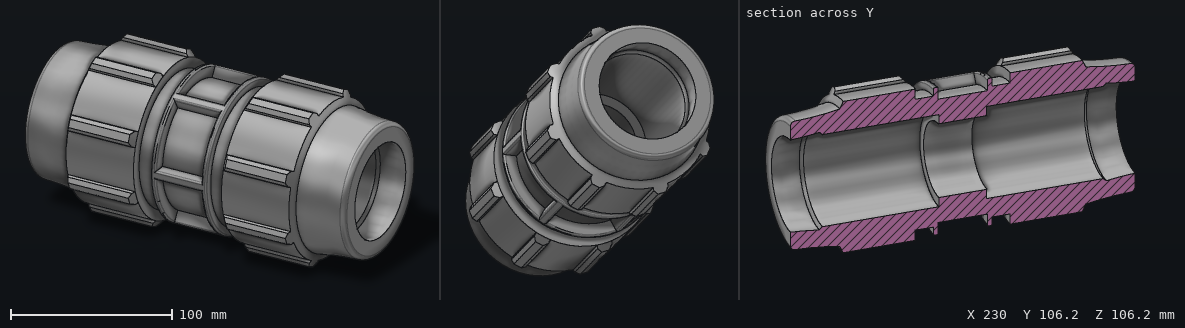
import cadquery as cq
import math

half_length = 115.0
envelope_half_width = 53.1

cap_rim_radius = 44.5
cap_mid_radius = 45.3
cap_foot_radius = 47.4
cap_edge_round = 3.2

nut_radius = 52.2
nut_inner_x = 31.5
nut_outer_x = 82.0
nut_bevel_length = 2.3

lobe_count = 8
lobe_first_angle = 180 / lobe_count
lobe_width = 10.1
lobe_top_width = 5.3
lobe_bevel_height = 2.5
lobe_root_radius = 46.0
lobe_inner_bevel_length = 3.2
lobe_tilt = math.radians(lobe_first_angle)
lobe_top_radius = (envelope_half_width - lobe_top_width / 2 * math.sin(lobe_tilt)) / math.cos(lobe_tilt)

body_radius = 90.5 / 2
collar_radius = 101.7 / 2
collar_half_length = 19.8
collar_edge_round = 1.2

pocket_count = 6
pocket_floor_radius = 42.5
pocket_half_length = 16.3
rib_thickness = 5.8

bore_radius = 50.4 / 2
socket_radius = 63.0 / 2
undercut_radius = 33.4
undercut_depth = 19.3
undercut_end_depth = 21.5
socket_depth = 99.0


def evenly_spaced_angles(count, first_angle):
    return [first_angle + i * 360 / count for i in range(count)]


def revolve_about_x(profile):
    """Close a profile drawn in the XY plane and turn it around the X axis."""
    return profile.close().revolve(360, (0, 0, 0), (1, 0, 0))


def make_neck():
    """Plain stretch of body between the collar and the nut on the +X side."""
    neck_length = nut_inner_x - pocket_half_length
    return cq.Workplane("YZ", origin=(pocket_half_length, 0, 0)).circle(body_radius).extrude(neck_length)


def make_cap():
    """Flared end cap on the +X side, with a rounded outer edge."""
    rim_x = half_length - cap_edge_round
    mid_x = (nut_outer_x + rim_x) / 2
    face_radius = cap_rim_radius - cap_edge_round
    diagonal = cap_edge_round * math.sqrt(0.5)
    return revolve_about_x(
        cq.Workplane("XY")
        .moveTo(nut_outer_x, 0)
        .lineTo(nut_outer_x, cap_foot_radius)
        .threePointArc((mid_x, cap_mid_radius), (rim_x, cap_rim_radius))
        .threePointArc((rim_x + diagonal, face_radius + diagonal), (half_length, face_radius))
        .lineTo(half_length, 0)
    )


def make_lobe():
    """Grip lobe pointing along +Y, over the whole length of the nut on the +X side."""
    shoulder_radius = lobe_top_radius - lobe_bevel_height
    return (
        cq.Workplane("YZ", origin=(nut_inner_x, 0, 0))
        .moveTo(lobe_root_radius, -lobe_width / 2)
        .lineTo(shoulder_radius, -lobe_width / 2)
        .lineTo(lobe_top_radius, -lobe_top_width / 2)
        .lineTo(lobe_top_radius, lobe_top_width / 2)
        .lineTo(shoulder_radius, lobe_width / 2)
        .lineTo(lobe_root_radius, lobe_width / 2)
        .close()
        .extrude(nut_outer_x - nut_inner_x)
    )


def make_nut():
    """Grip nut on the +X side; cones bevel its outer edge and both ends of the lobes."""
    nut = cq.Workplane("YZ", origin=(nut_inner_x, 0, 0)).circle(nut_radius).extrude(nut_outer_x - nut_inner_x)
    lobe = make_lobe()
    for angle in evenly_spaced_angles(lobe_count, lobe_first_angle):
        nut = nut.union(lobe.rotate((0, 0, 0), (1, 0, 0), angle))

    tip_radius = math.hypot(lobe_top_radius, lobe_top_width / 2)
    outer_slope = (nut_radius - cap_foot_radius) / nut_bevel_length
    outer_bevel_length = (tip_radius - cap_foot_radius) / outer_slope
    bevelled_envelope = revolve_about_x(
        cq.Workplane("XY")
        .moveTo(nut_inner_x, 0)
        .lineTo(nut_inner_x, nut_radius)
        .lineTo(nut_inner_x + lobe_inner_bevel_length, tip_radius)
        .lineTo(nut_outer_x - outer_bevel_length, tip_radius)
        .lineTo(nut_outer_x, cap_foot_radius)
        .lineTo(nut_outer_x, 0)
    )
    return nut.intersect(bevelled_envelope)


def make_collar():
    """Two rims joined by ribs, with all edges on the outer diameter rounded."""
    pockets = (
        cq.Workplane("YZ")
        .circle(2 * collar_radius)
        .circle(pocket_floor_radius)
        .extrude(pocket_half_length, both=True)
    )
    rib = cq.Workplane("XY").box(
        2 * pocket_half_length, 2 * collar_radius, rib_thickness, centered=(True, False, True)
    )
    for angle in evenly_spaced_angles(pocket_count, 0):
        pockets = pockets.cut(rib.rotate((0, 0, 0), (1, 0, 0), angle))
    collar = cq.Workplane("YZ").circle(collar_radius).extrude(collar_half_length, both=True).cut(pockets)

    def is_on_outer_diameter(edge):
        middle = edge.positionAt(0.5)
        return math.isclose(math.hypot(middle.y, middle.z), collar_radius, abs_tol=0.02)

    outer_edges = [edge for edge in collar.edges().vals() if is_on_outer_diameter(edge)]
    return collar.newObject(outer_edges).fillet(collar_edge_round)


def make_socket():
    """Hollow of the +X socket: flares to an undercut, then runs straight to the shoulder."""
    return revolve_about_x(
        cq.Workplane("XY")
        .moveTo(half_length, 0)
        .lineTo(half_length, socket_radius)
        .lineTo(half_length - undercut_depth, undercut_radius)
        .lineTo(half_length - undercut_end_depth, socket_radius)
        .lineTo(half_length - socket_depth, socket_radius)
        .lineTo(half_length - socket_depth, 0)
    )


right_half = make_neck().union(make_nut()).union(make_cap())
socket = make_socket()
bore = cq.Workplane("YZ").circle(bore_radius).extrude(half_length, both=True)

result = make_collar().union(right_half).union(right_half.mirror("YZ"))
result = result.cut(socket).cut(socket.mirror("YZ")).cut(bore)